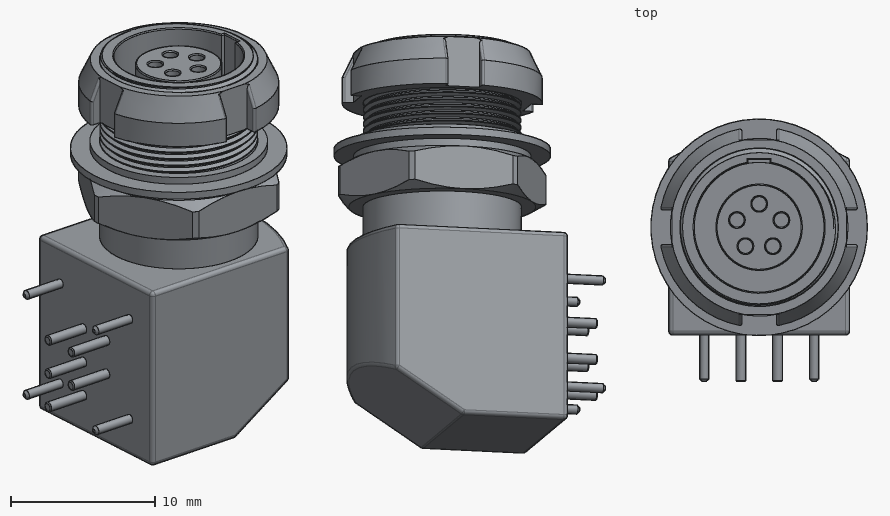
import cadquery as cq
import math

block_top = 13.23
nut_bottom = 15.88
nut_top = 18.9
flange_bottom = 19.47
flange_top = 19.98
collar_top = 20.5
ring_bottom = 23.2
ring_shoulder = 24.98
ring_top = 26.68
top = 27.0

block_width = 12.53
block_front = -7.48
block_back = 6.45
block_back_corner = 4.72
slope_rise = 4.08
block_round = 0.3

pin_grid = 2.55
pin_tip_y = -10.7
pin_embed = 0.55
contact_diameter = 0.7
contact_tip_chamfer = 0.08
post_diameter = 0.65
post_tip_chamfer = 0.2
lowest_pin_height = 2.8

shank_diameter = 11.0
thread_diameter = 10.94
thread_core_diameter = 10.35
thread_pitch = 0.5
thread_start = 20.15
thread_turns = 15
thread_root_overlap = 0.05
thread_crest_clearance = 0.03
thread_end_chamfer = 0.2
socket_bore_diameter = 9.0
socket_floor = 20.5
socket_mouth_chamfer = 0.08
keyway_width = 1.5
keyway_reach = 4.7
keyway_floor = 22.15
insert_diameter = 6.0
insert_top = 26.38
insert_edge_chamfer = 0.08
contact_hole_diameter = 1.0
contact_hole_depth = 4.05
contact_hole_chamfer = 0.08
contact_circle_radius = 1.62
contact_count = 5

ring_diameter = 13.88
ring_top_diameter = 12.25
ring_bore_diameter = 11.0
notch_width = 2.38
notch_floor_radius = 6.05
notch_edge_round = 0.15
notch_count = 4

flange_diameter = 15.0
collar_diameter = 12.3
nut_flats = 12.95
nut_corner_diameter = 14.72
nut_face_angle = 30.0


def cylinder(diameter, bottom, height_top):
    """Upright cylinder on the barrel axis between two heights."""
    return cq.Workplane("XY").workplane(offset=bottom).circle(diameter / 2).extrude(height_top - bottom)


def revolve_profile(points):
    """Turn an outline of (radius, height) points about the barrel axis."""
    return cq.Workplane("XZ").polyline(points).close().revolve(360, (0, 0, 0), (0, 1, 0))


def make_block():
    half = block_width / 2
    block = (
        cq.Workplane("XY")
        .moveTo(-half, block_front)
        .lineTo(half, block_front)
        .lineTo(half, block_back_corner)
        .threePointArc((0, block_back), (-half, block_back_corner))
        .close()
        .extrude(block_top)
    )
    below_slope = (
        cq.Workplane("YZ")
        .polyline([(0, 0), (2 * block_back, 2 * slope_rise), (2 * block_back, 0)])
        .close()
        .extrude(half * 2, both=True)
    )
    return block.cut(below_slope).edges().fillet(block_round)


def make_pin(column, row, diameter, tip_chamfer):
    """Pin pointing to -Y; columns count from the axis, rows from the lowest pin."""
    pin_root_y = block_front + pin_embed
    return (
        cq.Workplane("XZ", origin=(column * pin_grid, pin_root_y, lowest_pin_height + row * pin_grid))
        .circle(diameter / 2)
        .extrude(pin_root_y - pin_tip_y)
        .faces("<Y")
        .chamfer(tip_chamfer)
    )


def make_thread():
    """Single helical ridge with a 60 degree profile."""
    crest_radius = thread_diameter / 2
    base_radius = thread_core_diameter / 2 - thread_root_overlap
    crest_half = thread_pitch / 16
    base_half = crest_half + (crest_radius - base_radius) * math.tan(math.radians(30))
    helix = cq.Wire.makeHelix(
        thread_pitch, thread_turns * thread_pitch, crest_radius, center=cq.Vector(0, 0, thread_start)
    )
    ridge_profile = [
        (base_radius, thread_start - base_half),
        (crest_radius, thread_start - crest_half),
        (crest_radius, thread_start + crest_half),
        (base_radius, thread_start + base_half),
    ]
    ridge = cq.Workplane("XZ").polyline(ridge_profile).close().sweep(cq.Workplane(helix), isFrenet=True)
    blank_diameter = thread_diameter + 2 * thread_crest_clearance
    blank = cylinder(blank_diameter, block_top, top).faces(">Z").edges().chamfer(thread_end_chamfer)
    return ridge.intersect(blank)


def make_barrel():
    barrel = cylinder(shank_diameter, block_top - block_round, collar_top)
    barrel = barrel.union(cylinder(thread_core_diameter, collar_top, top))
    barrel = barrel.union(make_thread())

    keyway = (
        cq.Workplane("XY")
        .workplane(offset=keyway_floor)
        .center(0, keyway_reach / 2)
        .rect(keyway_width, keyway_reach)
        .extrude(top - keyway_floor)
    )
    socket = cylinder(socket_bore_diameter, socket_floor, top).union(keyway)
    barrel = barrel.cut(socket)
    mouth_box = cq.selectors.BoxSelector((-4.85, -4.85, 26.73), (4.85, 4.85, 27.27), boundingbox=True)
    barrel = barrel.faces(">Z").edges(mouth_box).chamfer(socket_mouth_chamfer)

    insert = (
        cylinder(insert_diameter, socket_floor, insert_top)
        .faces(">Z")
        .chamfer(insert_edge_chamfer)
        .faces(">Z")
        .workplane(origin=(0, 0, insert_top))
        .polarArray(contact_circle_radius, 90, 360, contact_count)
        .cskHole(contact_hole_diameter, contact_hole_diameter + 2 * contact_hole_chamfer, 90, contact_hole_depth)
    )
    return barrel.union(insert)


def make_housing():
    housing = make_block().union(make_barrel())
    for column, row in [(-0.5, 0), (-0.5, 1), (0.5, 1), (-0.5, 2), (0.5, 2)]:
        housing = housing.union(make_pin(column, row, contact_diameter, contact_tip_chamfer))
    for column in (-1.5, 1.5):
        for row in (0, 3):
            housing = housing.union(make_pin(column, row, post_diameter, post_tip_chamfer))
    return housing


def make_ring():
    bore_radius = ring_bore_diameter / 2
    outer_radius = ring_diameter / 2
    ring = revolve_profile([
        (bore_radius, ring_bottom),
        (outer_radius, ring_bottom),
        (outer_radius, ring_shoulder),
        (ring_top_diameter / 2, ring_top),
        (bore_radius, ring_top),
    ])
    notch = (
        cq.Workplane("XY")
        .box(outer_radius, notch_width, ring_top - ring_bottom, centered=(False, True, False))
        .translate((notch_floor_radius, 0, ring_bottom))
    )
    for index in range(notch_count):
        ring = ring.cut(notch.rotate((0, 0, 0), (0, 0, 1), index * 360 / notch_count))
    notch_corners = ring.edges("not #Z").edges("not %CIRCLE").filter(
        lambda edge: math.hypot(edge.Center().x, edge.Center().y) > notch_floor_radius * 1.05
    )
    return notch_corners.fillet(notch_edge_round)


def make_washer():
    washer = cylinder(collar_diameter, nut_top, collar_top)
    washer = washer.union(cylinder(flange_diameter, flange_bottom, flange_top))
    return washer.cut(cylinder(shank_diameter, nut_top, collar_top))


def make_nut():
    hexagon = (
        cq.Workplane("XY")
        .workplane(offset=nut_bottom)
        .polygon(6, nut_flats, circumscribed=True)
        .extrude(nut_top - nut_bottom)
    )
    corner_radius = nut_corner_diameter / 2
    flat_radius = nut_flats / 2
    chamfer_drop = (corner_radius - flat_radius) * math.tan(math.radians(nut_face_angle))
    envelope = revolve_profile([
        (0, nut_bottom),
        (flat_radius, nut_bottom),
        (corner_radius, nut_bottom + chamfer_drop),
        (corner_radius, nut_top - chamfer_drop),
        (flat_radius, nut_top),
        (0, nut_top),
    ])
    return hexagon.intersect(envelope).cut(cylinder(shank_diameter, nut_bottom, nut_top))


housing = make_housing()
ring = make_ring()
washer = make_washer()
nut = make_nut()

result = cq.Compound.makeCompound([housing.val(), ring.val(), washer.val(), nut.val()])